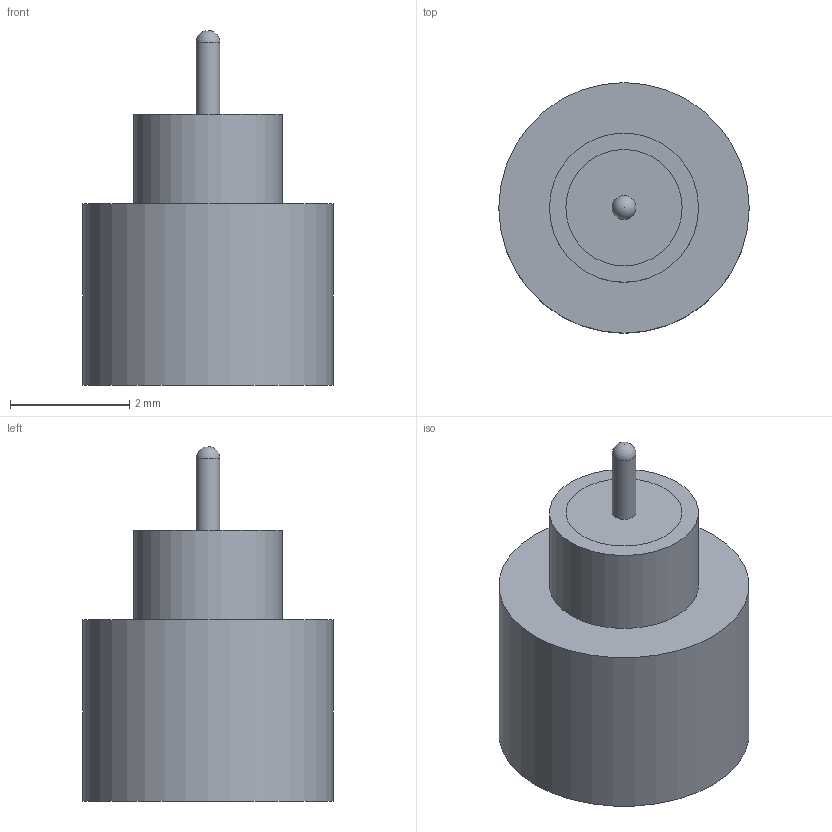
import cadquery as cq

body_diameter = 4.2
body_height = 3.05
shoulder_diameter = 2.5
shoulder_height = 1.5
insulator_diameter = 1.95
pin_diameter = 0.4
pin_length = 1.4

shoulder_top = body_height + shoulder_height
pin_radius = pin_diameter / 2
pin_tip = shoulder_top + pin_length
dome_start = pin_tip - pin_radius


def cylinder(diameter, bottom, top):
    """Upright cylinder on the part axis between two levels."""
    return cq.Workplane("XY").workplane(offset=bottom).circle(diameter / 2).extrude(top - bottom)


def stepped_shell():
    """Wide body with a narrower shoulder, bored to hold the insulator."""
    body = cylinder(body_diameter, 0, body_height)
    shoulder = cylinder(shoulder_diameter, body_height, shoulder_top)
    bore = cylinder(insulator_diameter, body_height, shoulder_top)
    return body.union(shoulder).cut(bore)


def domed_pin():
    """Contact pin that ends in a hemisphere."""
    shank = cylinder(pin_diameter, shoulder_top, dome_start)
    dome = cq.Workplane("XY").sphere(pin_radius).translate((0, 0, dome_start))
    return shank.union(dome)


insulator = cylinder(insulator_diameter, body_height, shoulder_top)
result = stepped_shell().union(insulator, clean=False).union(domed_pin(), clean=False)